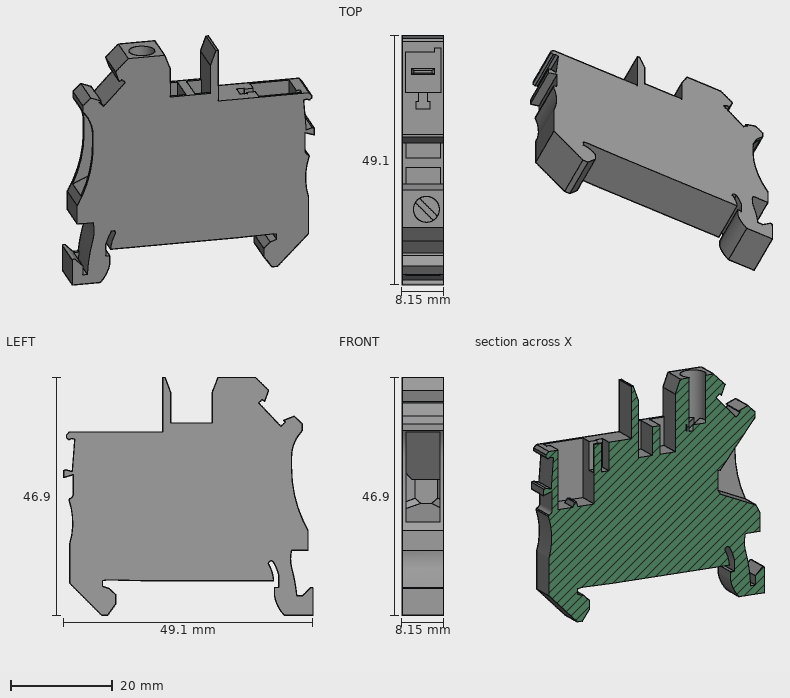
import cadquery as cq


width = 8.15
length = 49.1
height = 46.85

deck_z = 36.15
saddle_z = 37.9
rail_z = 6.82
rail_clearance = 0.15
fin_back_y = 29.6
fin_front_y = 28.0
tower_back_y = 19.9
ledge_y = 1.0
ledge_top_z = 16.7
ledge_bottom_z = 12.8
front_y = 4.2
brow_y = 2.1
brow_bottom_z = 36.45
rear_y = 47.9
fixed_foot_front_y = 38.85
rail_hook_y = 41.45
spring_foot_y = 7.6
spring_lip_z = 5.5
spring_slot_y = 6.8

pocket_x = (0.65, 7.6)
pocket_y = (37.9, 45.85)
pocket_depth = 12.28
notch_x = 6.35
notch_y = 46.65
keyway_depth = 5.9
keyway_stem_x = (3.2, 5.0)
keyway_head_x = (2.7, 5.5)
keyway_head_y = (34.65, 36.15)

contact_x = (1.85, 6.35)
contact_y = (41.45, 42.6)
contact_side_taper = 0.45
contact_edge_taper = 0.35
contact_height = 1.0

saddle_recess_x = (0.75, 7.55)
saddle_recess_depth = 5.9
saddle_web_y = (23.18, 25.0)

screw_x = 4.75
screw_y = 14.95
screw_radius = 2.55
screw_depth = 9.8
screw_slot_width = 1.2
screw_slot_depth = 1.25
screw_slot_angle = -45.0

release_wall = 0.8
release_wall_z = 3.9
release_wall_root_y = 3.45
release_lip_y = 2.1
release_leg_y = 3.25
release_leg_z = 4.1
release_floor_y = 3.05
release_floor_z = 1.95

entry_x = (0.8, 7.45)
entry_bottom_z = 18.35
entry_bottom_y = 1.7
entry_top_z = 36.15
entry_top_y = 2.35
entry_throat_y = 9.8
entry_throat_z = 26.7
entry_back_y = 10.3
entry_back_x = (2.55, 6.95)
entry_floor_x = (3.65, 5.8)
entry_back_z = 22.05
entry_corner_z = 23.1
entry_left_y = 8.85
entry_left_z = 22.4
entry_right_y = 8.35
entry_right_z = 21.2
large = 29.45


def box(x_range, y_range, z_range):
    size = [high - low for low, high in (x_range, y_range, z_range)]
    corner = (x_range[0], y_range[0], z_range[0])
    return cq.Workplane("XY").box(*size, centered=False).translate(corner)


def housing():
    outline = (
        cq.Workplane("YZ")
        .moveTo(0, 0)
        .lineTo(5.65, 0)
        .threePointArc((6.85, 1.65), (spring_foot_y, 3.8))
        .lineTo(spring_foot_y, spring_lip_z)
        .lineTo(spring_slot_y, spring_lip_z)
        .lineTo(spring_slot_y, 7.85)
        .threePointArc((7.2, 9.3), (7.9, 10.6))
        .threePointArc((8.4, 10.7), (8.8, 10.2))
        .threePointArc((8.1, 8.65), (7.75, rail_z))
        .lineTo(33.9, rail_z)
        .lineTo(40.55, rail_z + rail_clearance)
        .lineTo(rail_hook_y, rail_z)
        .lineTo(rail_hook_y, 5.75)
        .lineTo(40.1, 5.3)
        .lineTo(fixed_foot_front_y, 4.08)
        .lineTo(fixed_foot_front_y, 2.25)
        .lineTo(40.45, 0)
        .lineTo(41.6, 0)
        .lineTo(rear_y, 6.35)
        .lineTo(rear_y, 14.15)
        .threePointArc((47.35, 18.05), (48.05, 22.75))
        .lineTo(47.9, 23.0)
        .threePointArc((47.5, 23.25), (47.25, 23.75))
        .lineTo(47.25, 27.7)
        .lineTo(length, 27.1)
        .lineTo(length, 28.55)
        .lineTo(48.65, 28.65)
        .lineTo(47.45, 28.35)
        .lineTo(46.95, 34.65)
        .lineTo(47.6, 34.8)
        .lineTo(48.05, 34.55)
        .lineTo(48.55, 34.95)
        .lineTo(48.55, 35.5)
        .lineTo(47.95, deck_z)
        .lineTo(fin_back_y, deck_z)
        .lineTo(fin_back_y, height)
        .lineTo(29.1, height)
        .lineTo(fin_front_y, 43.8)
        .lineTo(fin_front_y, saddle_z)
        .lineTo(tower_back_y, saddle_z)
        .lineTo(tower_back_y, 43.9)
        .lineTo(18.75, height)
        .lineTo(11.35, height)
        .lineTo(8.75, 44.3)
        .lineTo(9.53, 42.15)
        .lineTo(10.05, 42.45)
        .lineTo(10.7, 41.85)
        .lineTo(6.35, 37.2)
        .lineTo(5.5, 38.05)
        .lineTo(5.85, 38.4)
        .lineTo(3.75, 39.25)
        .lineTo(brow_y, 37.7)
        .lineTo(brow_y, brow_bottom_z)
        .lineTo(2.9, 35.35)
        .threePointArc((3.9, 33.45), (front_y, 31.3))
        .lineTo(front_y, 28.95)
        .tangentArcPoint((ledge_y, ledge_top_z), relative=False)
        .lineTo(ledge_y, ledge_bottom_z)
        .lineTo(front_y, ledge_bottom_z)
        .threePointArc((4.4, 11.15), (4.2, 9.45))
        .threePointArc((3.65, 6.85), (release_floor_y, release_floor_z))
        .lineTo(release_lip_y, release_floor_z)
        .lineTo(release_lip_y, release_wall_z)
        .lineTo(0.6, 5.4)
        .threePointArc((0.25, spring_lip_z), (0, 5.25))
        .close()
    )
    return outline.extrude(width)


def label_pocket():
    """Space cut from the deck, leaving the contact stud standing on the pocket floor."""
    floor_z = deck_z - pocket_depth
    depth_range = (floor_z, deck_z)
    keyway_range = (deck_z - keyway_depth, deck_z)
    pocket = box(pocket_x, pocket_y, depth_range)
    notch = box((notch_x, pocket_x[1]), (pocket_y[1], notch_y), depth_range)
    stem = box(keyway_stem_x, (keyway_head_y[1], pocket_y[0]), keyway_range)
    head = box(keyway_head_x, keyway_head_y, keyway_range)

    stud_length = contact_x[1] - contact_x[0]
    stud_width = contact_y[1] - contact_y[0]
    contact = (
        cq.Workplane("XY", origin=(sum(contact_x) / 2, sum(contact_y) / 2, floor_z))
        .rect(stud_length, stud_width)
        .workplane(offset=contact_height)
        .rect(stud_length - 2 * contact_side_taper, stud_width - 2 * contact_edge_taper)
        .loft()
    )
    return pocket.union(notch).union(stem).union(head).cut(contact)


def saddle_recesses():
    depth_range = (saddle_z - saddle_recess_depth, saddle_z)
    rear = box(saddle_recess_x, (saddle_web_y[1], fin_front_y), depth_range)
    front = box(saddle_recess_x, (tower_back_y, saddle_web_y[0]), depth_range)
    return rear.union(front)


def screw_hole():
    head_z = height - screw_depth
    bore = (
        cq.Workplane("XY", origin=(screw_x, screw_y, head_z))
        .circle(screw_radius)
        .extrude(screw_depth)
    )
    driver_slot = (
        cq.Workplane("XY", origin=(screw_x, screw_y, head_z))
        .transformed(rotate=(0, 0, screw_slot_angle))
        .rect(2 * screw_radius, screw_slot_width)
        .extrude(-screw_slot_depth)
    )
    screw_head = (
        cq.Workplane("XY", origin=(screw_x, screw_y, head_z))
        .circle(screw_radius)
        .extrude(-screw_slot_depth)
    )
    return bore.union(driver_slot.intersect(screw_head))


def block_behind(first, second, third):
    """Block on the side of the plane through three points that their right-hand normal faces."""
    start = cq.Vector(*first)
    normal = (cq.Vector(*second) - start).cross(cq.Vector(*third) - start)
    plane = cq.Plane(origin=first, normal=normal.toTuple())
    return cq.Workplane(plane).rect(large, large).extrude(large)


def wire_entry():
    funnel = (
        cq.Workplane("YZ", origin=(entry_x[0], 0, 0))
        .polyline([
            (0, entry_bottom_z),
            (entry_bottom_y, entry_bottom_z),
            (entry_back_y, entry_back_z),
            (entry_back_y, entry_throat_z),
            (entry_throat_y, entry_throat_z),
            (entry_top_y, entry_top_z),
            (0, entry_top_z),
        ])
        .close()
        .extrude(entry_x[1] - entry_x[0])
    )
    left_back = (entry_back_x[0], entry_back_y, entry_corner_z)
    left_back_top = (entry_back_x[0], entry_back_y, entry_throat_z)
    left_floor = (entry_floor_x[0], entry_back_y, entry_back_z)
    left_side = (entry_x[0], entry_left_y, entry_left_z)
    right_back = (entry_back_x[1], entry_back_y, entry_corner_z)
    right_back_top = (entry_back_x[1], entry_back_y, entry_throat_z)
    right_floor = (entry_floor_x[1], entry_back_y, entry_back_z)
    right_side = (entry_x[1], entry_throat_y, entry_corner_z)
    right_foot = (entry_x[1], entry_right_y, entry_right_z)
    for corners in (
        (left_back, left_side, left_back_top),
        (left_back, left_floor, left_side),
        (right_back, right_back_top, right_side),
        (right_back, right_foot, right_floor),
    ):
        funnel = funnel.cut(block_behind(*corners))
    return funnel


def release_slot_wall():
    outline = (
        cq.Workplane("YZ")
        .moveTo(release_lip_y, release_floor_z)
        .lineTo(release_wall_root_y, release_floor_z)
        .lineTo(release_wall_root_y, release_leg_z)
        .lineTo(release_leg_y, release_leg_z)
        .threePointArc((3.15, 3.95), (2.95, release_wall_z))
        .lineTo(release_lip_y, release_wall_z)
        .close()
    )
    return outline.extrude(release_wall)


result = (
    housing()
    .union(release_slot_wall())
    .cut(label_pocket())
    .cut(saddle_recesses())
    .cut(screw_hole())
    .cut(wire_entry())
)